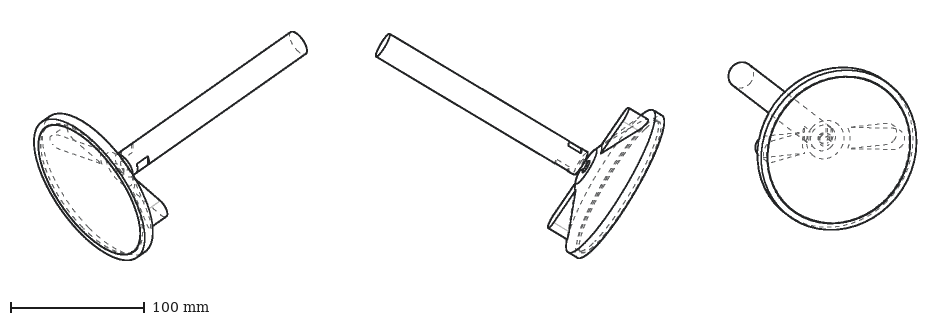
import cadquery as cq
import math

total_length = 210.0

plate_diameter = 124.0
rim_height = 8.2
cone_top_diameter = 29.8
cone_top = 29.8

pad_diameter = 113.5
pad_recess_diameter = 114.0
pad_groove_depth = 2.0

bar_length = 112.5
bar_width = 16.5
bar_top = 28.0

shaft_diameter = 20.0
shaft_start = 34.6
neck_diameter = 7.8
ball_diameter = 12.5
neck_start = 31.0
flat_start = 40.0
flat_end = 51.2
across_flats = 17.0


def cylinder(diameter, start, end):
    """Round bar on the spindle axis between two Y positions."""
    plane = cq.Workplane("XZ", origin=(0, start, 0))
    return plane.circle(diameter / 2).extrude(start - end)


def foot_plate():
    """Rim and cone turned about the spindle axis."""
    rim_radius = plate_diameter / 2
    outline = [
        (0, 0),
        (rim_radius, 0),
        (rim_radius, rim_height),
        (cone_top_diameter / 2, cone_top),
        (0, cone_top),
    ]
    return cq.Workplane("XY").polyline(outline).close().revolve(360, (0, 0), (0, 1))


def cross_bar():
    """Bar with rounded ends, rising from inside the rim."""
    plane = cq.Workplane("XZ", origin=(0, rim_height, 0))
    return plane.slot2D(bar_length, bar_width).extrude(rim_height - bar_top)


def pad_groove():
    """Ring-shaped gap around the pad."""
    recess = cylinder(pad_recess_diameter, 0, pad_groove_depth)
    return recess.cut(cylinder(pad_diameter, 0, pad_groove_depth))


def spindle():
    """Ball, neck and shaft, with two opposite wrench flats on the shaft."""
    neck_offset = math.sqrt((ball_diameter / 2) ** 2 - (neck_diameter / 2) ** 2)
    ball_center = neck_start - neck_offset
    ball = cq.Workplane("XY").sphere(ball_diameter / 2).translate((0, ball_center, 0))
    neck = cylinder(neck_diameter, ball_center, shaft_start)
    shaft = cylinder(shaft_diameter, shaft_start, total_length)

    flat_depth = (shaft_diameter - across_flats) / 2
    flat_middle = (flat_start + flat_end) / 2
    for side in (-1, 1):
        cutter = cq.Workplane("XY").box(flat_depth, flat_end - flat_start, shaft_diameter)
        shaft = shaft.cut(cutter.translate((side * (across_flats + flat_depth) / 2, flat_middle, 0)))
    return shaft.union(neck).union(ball)


result = foot_plate().union(cross_bar()).union(spindle()).cut(pad_groove())